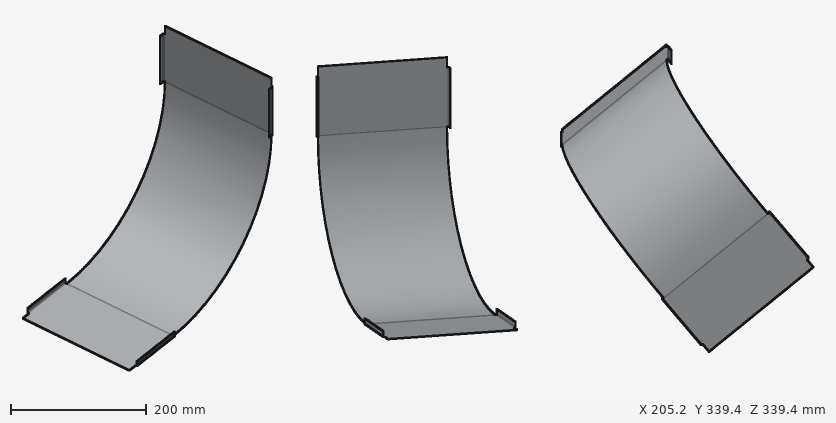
import cadquery as cq
import math

sheet_thickness = 0.6
overall_width = 205.2
overall_reach = 339.35
panel_width = 200.0
flange_length = 90.0
flange_setback = 15.0
flange_height = 9.0
flange_inner_radius = 0.5

leg_length = flange_setback + flange_length
outer_radius = overall_reach - leg_length
inner_radius = outer_radius - sheet_thickness
tab_width = (overall_width - panel_width) / 2
flange_outer_radius = flange_inner_radius + sheet_thickness

bend_center_y = leg_length
bend_center_z = outer_radius


def bend_point(radius):
    """Point halfway round the quarter bend, as (Y, Z)."""
    offset = radius * math.sqrt(0.5)
    return bend_center_y + offset, bend_center_z - offset


def make_curved_sheet():
    """Two flat legs joined by a quarter-circle bend, centred on X = 0."""
    inner_face = overall_reach - sheet_thickness
    return (
        cq.Workplane("YZ")
        .moveTo(0, 0)
        .lineTo(leg_length, 0)
        .threePointArc(bend_point(outer_radius), (overall_reach, bend_center_z))
        .lineTo(overall_reach, overall_reach)
        .lineTo(inner_face, overall_reach)
        .lineTo(inner_face, bend_center_z)
        .threePointArc(bend_point(inner_radius), (leg_length, sheet_thickness))
        .lineTo(0, sheet_thickness)
        .close()
        .extrude(panel_width / 2, both=True)
    )


def make_flange_pair():
    """Side tabs of the horizontal leg, each folded up at its outer edge."""
    half_panel = panel_width / 2
    flange_inner_face = tab_width - sheet_thickness
    fold_start = tab_width - flange_outer_radius
    right_flange = (
        cq.Workplane("XZ", origin=(half_panel, flange_setback, 0))
        .moveTo(0, 0)
        .lineTo(fold_start, 0)
        .radiusArc((tab_width, flange_outer_radius), -flange_outer_radius)
        .lineTo(tab_width, flange_height)
        .lineTo(flange_inner_face, flange_height)
        .lineTo(flange_inner_face, flange_outer_radius)
        .radiusArc((fold_start, sheet_thickness), flange_inner_radius)
        .lineTo(0, sheet_thickness)
        .close()
        .extrude(-flange_length)
    )
    return right_flange.union(right_flange.mirror("YZ"))


def to_vertical_leg(shape):
    """Mirror a shape from the horizontal leg across the plane Y + Z = overall_reach."""
    return shape.mirror(cq.Vector(0, 1, 1), (0, overall_reach, 0))


lower_flanges = make_flange_pair()
upper_flanges = to_vertical_leg(lower_flanges)
result = make_curved_sheet().union(lower_flanges).union(upper_flanges)